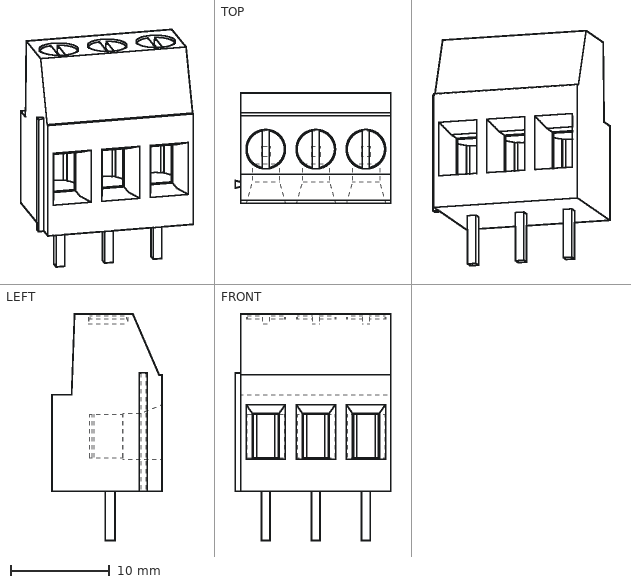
import cadquery as cq

pole_count = 3
pitch = 5.08
body_length = pole_count * pitch
body_depth = 11.2
body_height = 18.0

front_face_height = 11.8
front_lip_depth = 0.3
top_front_y = 2.98
top_back_y = 8.9
shoulder_y = 9.2
shoulder_height = 9.8

screw_y = 5.5
screw_hole_diameter = 4.0
screw_diameter = 3.8
screw_recess = 0.2
screw_gap_depth = 0.3
slot_width = 0.7
slot_depth = 0.8

mouth_width = 4.0
mouth_height = 5.55
mouth_bottom = 3.25
flare_depth = 2.2
throat_width = 2.76
throat_height = 4.68
throat_depth = 4.0
chamber_inset = 0.13
chamber_width = throat_width - 2 * chamber_inset
chamber_height = throat_height - 2 * chamber_inset
chamber_bottom = mouth_bottom + chamber_inset
chamber_back_y = 7.16

pin_width = 0.9
pin_depth = 1.0
pin_length = 5.0
pin_y = 5.28

rib_height = 12.0
rib_y = 1.93
rib_projection = 0.57
rib_outer_width = 0.8
rib_root_width = 0.5


def box(x_center, width, y_start, y_end, z_start, height):
    """Box centred on x_center, spanning y_start to y_end and rising from z_start."""
    depth = y_end - y_start
    corner = cq.Workplane("XY").box(width, depth, height, centered=(True, False, False))
    return corner.translate((x_center, y_start, z_start))


def cylinder(x_center, diameter, z_start, height):
    """Upright cylinder on a screw axis."""
    disc = cq.Workplane("XY").circle(diameter / 2).extrude(height)
    return disc.translate((x_center, screw_y, z_start))


def housing():
    profile = [
        (0, 0),
        (body_depth, 0),
        (body_depth, shoulder_height),
        (shoulder_y, shoulder_height),
        (top_back_y, body_height),
        (top_front_y, body_height),
        (front_lip_depth, front_face_height),
        (0, front_face_height),
    ]
    return cq.Workplane("YZ").polyline(profile).close().extrude(body_length)


def screw_cut(x_center):
    """Recess above a screw head, the thin gap around the head and its driver slot."""
    head_top = body_height - screw_recess
    recess = cylinder(x_center, screw_hole_diameter, head_top, screw_recess)
    gap_bottom = head_top - screw_gap_depth
    gap = cylinder(x_center, screw_hole_diameter, gap_bottom, screw_gap_depth)
    gap = gap.cut(cylinder(x_center, screw_diameter, gap_bottom, screw_gap_depth))
    slot_bottom = head_top - slot_depth
    slot_half = screw_hole_diameter / 2
    slot = box(x_center, slot_width, screw_y - slot_half, screw_y + slot_half, slot_bottom, slot_depth)
    slot = slot.intersect(cylinder(x_center, screw_hole_diameter, slot_bottom, slot_depth))
    return recess.union(gap).union(slot)


def mouth_flare(x_center):
    """Mouth that narrows towards the throat on both sides and the top, with a level floor."""
    mouth_z = mouth_bottom + mouth_height / 2
    throat_z = mouth_bottom + throat_height / 2
    return (
        cq.Workplane("XZ")
        .center(x_center, mouth_z)
        .rect(mouth_width, mouth_height)
        .workplane(offset=-flare_depth)
        .center(0, throat_z - mouth_z)
        .rect(throat_width, throat_height)
        .loft(ruled=True)
    )


def wire_entry_cut(x_center):
    throat = box(x_center, throat_width, 0, throat_depth, mouth_bottom, throat_height)
    chamber = box(x_center, chamber_width, throat_depth, chamber_back_y, chamber_bottom, chamber_height)
    bore = cylinder(x_center, screw_diameter, chamber_bottom, chamber_height)
    return mouth_flare(x_center).union(throat).union(chamber).union(bore)


def pin(x_center):
    half = pin_depth / 2
    return box(x_center, pin_width, pin_y - half, pin_y + half, -pin_length, pin_length)


def rib():
    outline = [
        (0, rib_y - rib_root_width / 2),
        (0, rib_y + rib_root_width / 2),
        (-rib_projection, rib_y + rib_outer_width / 2),
        (-rib_projection, rib_y - rib_outer_width / 2),
    ]
    return cq.Workplane("XY").polyline(outline).close().extrude(rib_height)


result = housing().union(rib())
for pole in range(pole_count):
    pole_x = (pole + 0.5) * pitch
    result = result.cut(screw_cut(pole_x))
    result = result.cut(wire_entry_cut(pole_x))
    result = result.union(pin(pole_x))